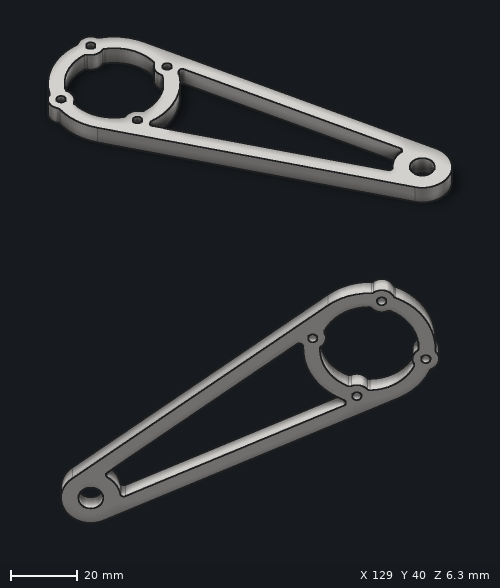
import cadquery as cq
import math

length = 129.0
thickness = 6.3
ring_radius = 20.0
rim_width = 5.0
tip_radius = 9.0
tip_hole_diameter = 7.5
screw_offset = 12.4
screw_hole_diameter = 2.8
boss_radius = 4.0
boss_blend_radius = 1.0
window_corner_radius = 1.0

center_distance = length - ring_radius - tip_radius
ring_x = -center_distance / 2
tip_x = center_distance / 2
bore_radius = ring_radius - rim_width
screw_points = [
    (ring_x + side_x * screw_offset, side_y * screw_offset)
    for side_x in (-1, 1)
    for side_y in (-1, 1)
]


def cylinder(x, radius, y=0):
    return cq.Workplane("XY").center(x, y).circle(radius).extrude(thickness)


def tangent_wedge(large_radius, small_radius):
    """Plate between the straight lines tangent to both end circles."""
    sine = (large_radius - small_radius) / center_distance
    cosine = math.sqrt(1 - sine**2)
    large_point = (ring_x + large_radius * sine, large_radius * cosine)
    small_point = (tip_x + small_radius * sine, small_radius * cosine)
    return (
        cq.Workplane("XY")
        .moveTo(*large_point)
        .lineTo(*small_point)
        .lineTo(small_point[0], -small_point[1])
        .lineTo(large_point[0], -large_point[1])
        .close()
        .extrude(thickness)
    )


def make_bosses():
    bosses = cq.Workplane("XY")
    for x, y in screw_points:
        bosses = bosses.add(cylinder(x, boss_radius, y))
    return bosses.combine()


def make_outline(bosses):
    """Tapered arm with blended bosses on the free side of the ring."""
    body = tangent_wedge(ring_radius, tip_radius)
    body = body.union(cylinder(ring_x, ring_radius))
    body = body.union(cylinder(tip_x, tip_radius))
    body = body.union(bosses)
    junctions = cq.selectors.BoxSelector(
        (ring_x - ring_radius, -ring_radius, 0),
        (ring_x - boss_radius, ring_radius, thickness),
    )
    midline = cq.selectors.BoxSelector(
        (ring_x - 2 * ring_radius, -boss_radius, 0),
        (ring_x, boss_radius, thickness),
    )
    return body.edges("|Z").edges(junctions - midline).fillet(boss_blend_radius)


def make_bore(bosses):
    """Ring bore, narrowed by the four blended bosses."""
    bore = cylinder(ring_x, bore_radius).cut(bosses)
    seam = cq.selectors.BoxSelector(
        (ring_x - ring_radius, -boss_radius, 0),
        (ring_x + ring_radius, boss_radius, thickness),
    )
    return bore.edges("|Z").edges(-seam).fillet(boss_blend_radius)


def make_window(bosses):
    """Opening between the arms, ring and tip, with rounded corners."""
    window = tangent_wedge(bore_radius, tip_radius - rim_width)
    window = window.cut(cylinder(ring_x, ring_radius))
    window = window.cut(cylinder(tip_x, tip_radius))
    window = window.cut(bosses)
    pieces = window.solids().vals()
    window = cq.Workplane("XY").add(max(pieces, key=lambda piece: piece.Volume()))
    return window.edges("|Z").fillet(window_corner_radius)


screw_bosses = make_bosses()
result = make_outline(screw_bosses).cut(make_bore(screw_bosses)).cut(make_window(screw_bosses))
result = result.cut(cylinder(tip_x, tip_hole_diameter / 2))
for screw_x, screw_y in screw_points:
    result = result.cut(cylinder(screw_x, screw_hole_diameter / 2, screw_y))